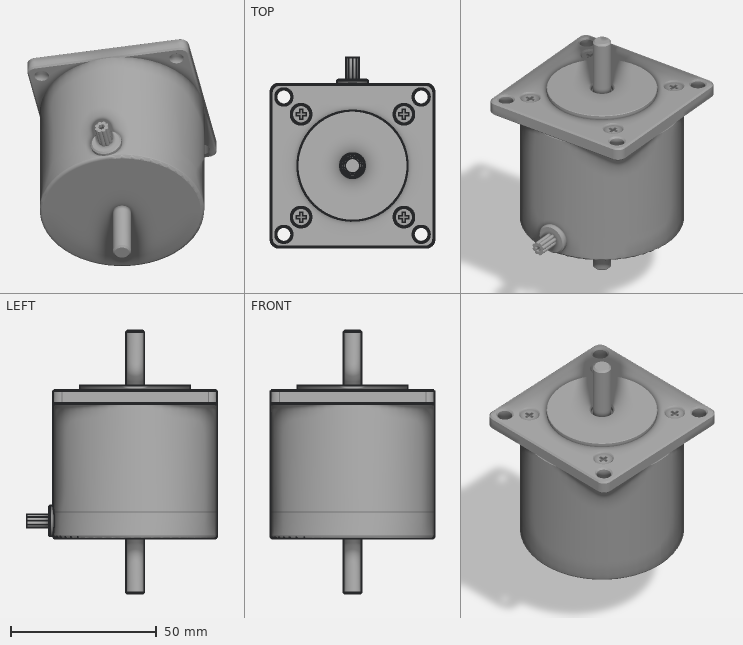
import cadquery as cq
import math


shaft_length = 90.4
shaft_diameter = 6.3
shaft_chamfer = 0.6

cap_bottom = 18.9
body_bottom = 28.2
plate_bottom = 65.0
plate_top = 70.0
pilot_top = 71.6

body_diameter = 56.4
cap_fillet = 1.1

plate_side = 56.3
plate_corner_radius = 3.0
plate_chamfer = 0.5

pilot_diameter = 38.0
pilot_chamfer = 0.2
bore_diameter = 7.6
bore_depth = pilot_top - plate_top
bore_chamfer = 0.5

mount_spacing = 47.1
mount_diameter = 5.0
mount_chamfer = 0.5

screw_spacing = 35.3
screw_head_diameter = 6.15
screw_sink_depth = 0.5
cross_length = 3.4
cross_width = 1.1
cross_depth = 0.9

grommet_diameter = 10.7
grommet_z = 25.05
grommet_end_y = 29.7
grommet_embed = 2.7
grommet_root_y = body_diameter / 2 - grommet_embed
grommet_chamfer = 0.5
wire_count = 8
wire_diameter = 1.45
wire_ring_radius = 1.7
wire_end_y = 37.2


def cylinder(diameter, bottom, top):
    """Cylinder on the Z axis between two heights."""
    return cq.Workplane("XY").workplane(offset=bottom).circle(diameter / 2).extrude(top - bottom)


def cylinder_along_y(diameter, x, z, start_y, end_y):
    """Cylinder parallel to Y, centred at (x, z)."""
    start = cq.Vector(x, start_y, z)
    return cq.Workplane(
        cq.Solid.makeCylinder(diameter / 2, end_y - start_y, start, cq.Vector(0, 1, 0))
    )


def square_pattern(spacing, height):
    """Workplane at a height with a point on each corner of a centred square."""
    plane = cq.Workplane("XY").workplane(offset=height)
    return plane.rect(spacing, spacing, forConstruction=True).vertices()


def cone_sink(small_diameter, depth, top):
    """45-degree conical cutter, widest at the given top height, centred on the Z axis."""
    small_radius = small_diameter / 2
    return cq.Solid.makeCone(small_radius, small_radius + depth, depth, cq.Vector(0, 0, top - depth))


def cone_sinks(spacing, small_diameter, depth):
    """Four conical cutters in the plate top, on the corners of a square."""
    cone = cone_sink(small_diameter, depth, 0)
    return square_pattern(spacing, plate_top).eachpoint(lambda place: cone.moved(place), combine=True)


def make_body():
    cap = cylinder(body_diameter, cap_bottom, body_bottom).faces("<Z").edges().fillet(cap_fillet)
    body = cylinder(body_diameter, body_bottom, plate_bottom)
    return cap.union(body, clean=False)


def make_plate():
    plate = (
        cq.Workplane("XY")
        .workplane(offset=plate_bottom)
        .rect(plate_side, plate_side)
        .extrude(plate_top - plate_bottom)
        .edges("|Z")
        .fillet(plate_corner_radius)
        .faces("<Z or >Z")
        .edges()
        .chamfer(plate_chamfer)
    )
    pilot = cylinder(pilot_diameter, plate_top, pilot_top).faces(">Z").edges().chamfer(pilot_chamfer)
    return plate.union(pilot)


def make_mount_holes():
    height = plate_top - plate_bottom
    holes = square_pattern(mount_spacing, plate_bottom).circle(mount_diameter / 2).extrude(height)
    return holes.union(cone_sinks(mount_spacing, mount_diameter, mount_chamfer))


def make_screw_recesses():
    sinks = cone_sinks(screw_spacing, screw_head_diameter, screw_sink_depth)
    head_level = plate_top - screw_sink_depth
    for length_x, length_y in ((cross_length, cross_width), (cross_width, cross_length)):
        slots = square_pattern(screw_spacing, head_level).rect(length_x, length_y).extrude(-cross_depth)
        sinks = sinks.union(slots)
    return sinks


def make_shaft_bore():
    bore = cylinder(bore_diameter, pilot_top - bore_depth, pilot_top)
    return bore.union(cq.Workplane(cone_sink(bore_diameter, bore_chamfer, pilot_top)))


def make_shaft():
    return cylinder(shaft_diameter, 0, shaft_length).faces("<Z or >Z").edges().chamfer(shaft_chamfer)


def make_lead_outlet():
    outlet = cylinder_along_y(grommet_diameter, 0, grommet_z, grommet_root_y, grommet_end_y)
    outlet = outlet.faces(">Y").edges().chamfer(grommet_chamfer)
    pitch = 2 * math.pi / wire_count
    for index in range(wire_count):
        angle = (index + 0.5) * pitch
        x = wire_ring_radius * math.cos(angle)
        z = grommet_z + wire_ring_radius * math.sin(angle)
        outlet = outlet.union(cylinder_along_y(wire_diameter, x, z, grommet_root_y, wire_end_y))
    return outlet


motor = make_body().union(make_plate(), clean=False)
motor = motor.cut(make_mount_holes(), clean=False)
motor = motor.cut(make_screw_recesses(), clean=False)
motor = motor.cut(make_shaft_bore(), clean=False)
motor = motor.union(make_shaft(), clean=False)
result = motor.union(make_lead_outlet(), clean=False)